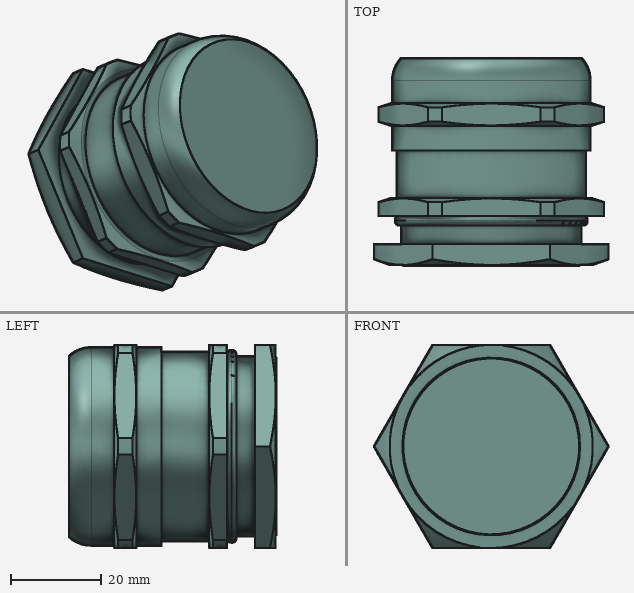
import cadquery as cq
import math


across_flats = 45.0
nut_corner_diameter = 50.0
nut_chamfer_diameter = 44.4
nut_chamfer_angle = 18.0
plug_chamfer_diameter = 45.0
plug_chamfer_angle = 20.0

plug_length = 4.8
plug_disc_diameter = 39.3
plug_disc_height = 0.2
plug_disc_chamfer = 0.17

neck_diameter = 40.0
body_diameter = 42.0
cap_diameter = 44.0
cap_end_diameter = 40.0

ring_section_radius = 1.1
ring_centre_radius = 20.25
ring_seating = 0.1

neck_length = 6.2
lower_nut_thickness = 4.0
exposed_body_length = 10.5
cap_skirt_length = 5.5
cap_nut_thickness = 5.0
cap_collar_length = 5.0
cap_dome_length = 5.0

plug_front = -plug_length
lower_nut_front = neck_length
body_front = lower_nut_front + lower_nut_thickness
cap_front = body_front + exposed_body_length
cap_nut_front = cap_front + cap_skirt_length
dome_front = cap_nut_front + cap_nut_thickness + cap_collar_length
cap_end = dome_front + cap_dome_length

hexagon_circumdiameter = across_flats / math.cos(math.radians(30))


def cylinder(start, length, diameter):
    """Cylinder along +Y, starting at Y = start."""
    return cq.Workplane("XZ", origin=(0, start, 0)).circle(diameter / 2).extrude(-length)


def hexagon(start, length):
    """Hexagonal prism along +Y with flats at the top and bottom."""
    return cq.Workplane("XZ", origin=(0, start, 0)).polygon(6, hexagon_circumdiameter).extrude(-length)


def turned(profile):
    """Solid of revolution about Y from a closed (radius, Y) profile."""
    return profile.close().revolve(360, (0, 0, 0), (0, 1, 0))


def turned_hexagon(start, end, outer_diameter, chamfer_diameter, angle, chamfer_front, chamfer_back):
    """Hexagon whose corners are turned to a diameter and chamfered at the chosen ends."""
    outer = outer_diameter / 2
    inner = chamfer_diameter / 2
    drop = (outer - inner) * math.tan(math.radians(angle))
    profile = cq.Workplane("XY").moveTo(0, start)
    if chamfer_front:
        profile = profile.lineTo(inner, start).lineTo(outer, start + drop)
    else:
        profile = profile.lineTo(outer, start)
    if chamfer_back:
        profile = profile.lineTo(outer, end - drop).lineTo(inner, end)
    else:
        profile = profile.lineTo(outer, end)
    envelope = turned(profile.lineTo(0, end))
    return hexagon(start, end - start).intersect(envelope)


def nut(start, thickness, chamfer_front):
    """Gland nut, always chamfered on its back face."""
    return turned_hexagon(
        start, start + thickness, nut_corner_diameter, nut_chamfer_diameter,
        nut_chamfer_angle, chamfer_front, True,
    )


def blanking_plug():
    """Hexagon head with a low chamfered disc on its front face."""
    head = turned_hexagon(
        plug_front + plug_disc_height, 0, hexagon_circumdiameter, plug_chamfer_diameter,
        plug_chamfer_angle, True, False,
    )
    disc = cylinder(plug_front, plug_length, plug_disc_diameter)
    disc = disc.faces("<Y").chamfer(plug_disc_chamfer)
    return head.union(disc)


def sealing_ring():
    """O-ring on the neck, pressed against the lower nut."""
    ring_y = lower_nut_front - ring_section_radius + ring_seating
    ring = cq.Solid.makeTorus(
        ring_centre_radius, ring_section_radius, cq.Vector(0, ring_y, 0), cq.Vector(0, 1, 0)
    )
    return cq.Workplane(ring)


def cap():
    """Round cap whose rim curves in, tangent to its side, to a flat end."""
    outer = cap_diameter / 2
    end_radius = cap_end_diameter / 2
    inset = outer - end_radius
    dome_radius = (cap_dome_length ** 2 + inset ** 2) / (2 * inset)
    half_angle = math.asin(cap_dome_length / dome_radius) / 2
    dome_middle = (
        outer - dome_radius * (1 - math.cos(half_angle)),
        dome_front + dome_radius * math.sin(half_angle),
    )
    profile = (
        cq.Workplane("XY")
        .moveTo(0, cap_front)
        .lineTo(outer, cap_front)
        .lineTo(outer, dome_front)
        .threePointArc(dome_middle, (end_radius, cap_end))
        .lineTo(0, cap_end)
    )
    return turned(profile)


neck = cylinder(0, neck_length, neck_diameter)
body = cylinder(body_front, exposed_body_length, body_diameter)

result = (
    blanking_plug()
    .union(neck)
    .union(sealing_ring())
    .union(nut(lower_nut_front, lower_nut_thickness, False))
    .union(body)
    .union(cap())
    .union(nut(cap_nut_front, cap_nut_thickness, True))
)